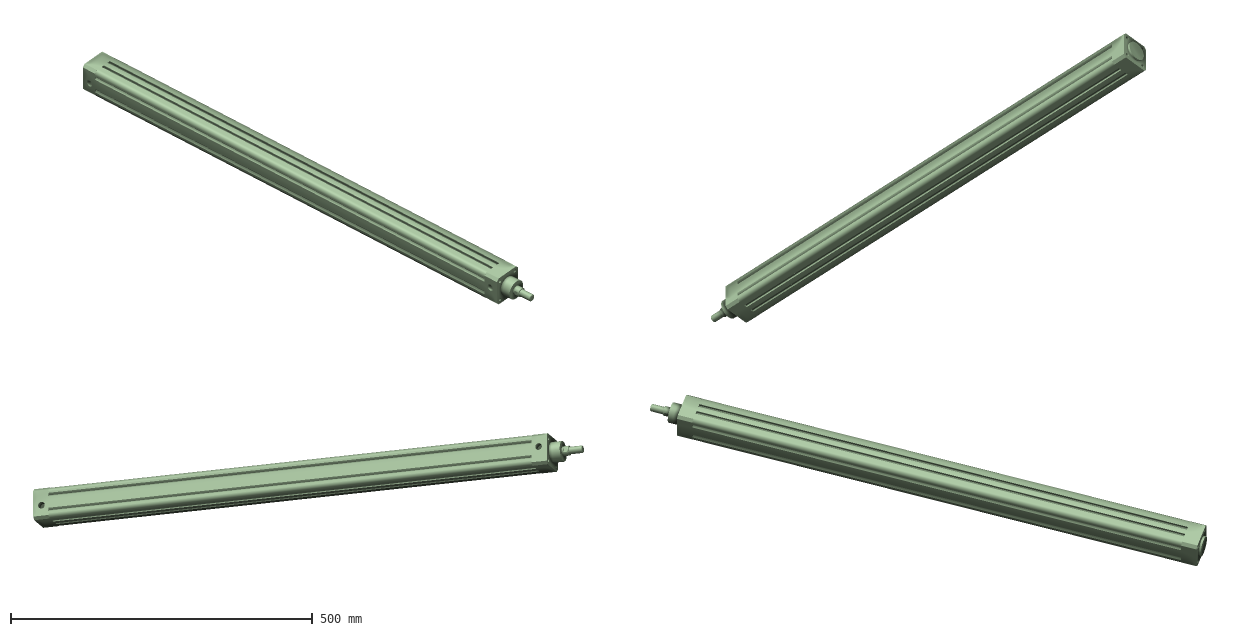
import cadquery as cq

total_length = 963.0
side = 54.0
boss_length = 4.0
cap_length = 27.0
rod_reach = 54.0
head_face_x = total_length - rod_reach
rear_tube_x = boss_length + cap_length
head_tube_x = head_face_x - cap_length

cap_chamfer = 5.0
boss_diameter = 35.0
collar_length = 19.0
screw_spacing = 38.0
screw_diameter = 6.0
screw_depth = 15.0
port_diameter = 12.0
port_depth = 12.0
port_offset_z = 4.0
port_inset = 14.0

tube_length = head_tube_x - rear_tube_x
tube_corner_radius = 8.0
slot_width = 6.0
slot_depth = 4.0
slot_offset = 8.0
groove_width = 7.0
groove_depth = 3.0
groove_inner_edge = 10.0
groove_offset = groove_inner_edge + groove_width / 2

rod_diameter = 16.0
thread_diameter = 13.0
thread_length = 23.0
thread_chamfer = 1.0
flat_width = 14.0
flat_length = 7.0
shoulder_length = 2.0
thread_start_x = total_length - thread_length
flats_start_x = thread_start_x - shoulder_length - flat_length


def section_plane(x):
    """Workplane across the axis, with local x along Y and local y along Z."""
    return cq.Workplane("YZ", origin=(x, 0, 0))


def round_bar(diameter, start_x, length):
    """Round bar along X, centred on the axis."""
    return section_plane(start_x).circle(diameter / 2).extrude(length)


def square_bar(start_x, length):
    """Square bar along X, centred on the axis."""
    return section_plane(start_x).rect(side, side).extrude(length)


def screw_holes(face_x, direction):
    """Cutter for four blind holes from an outer cap face towards the tube."""
    return (
        section_plane(face_x)
        .rect(screw_spacing, screw_spacing, forConstruction=True)
        .vertices()
        .circle(screw_diameter / 2)
        .extrude(direction * screw_depth)
    )


def port(x, z):
    """Cutter for a blind air port in the -Y side of a cap."""
    face = cq.Workplane("XZ", origin=(x, -side / 2, z))
    return face.circle(port_diameter / 2).extrude(-port_depth)


def make_rear_cap():
    """Rear cap with a centring boss."""
    cap = square_bar(boss_length, cap_length).edges("|X").chamfer(cap_chamfer)
    cap = cap.union(round_bar(boss_diameter, 0, boss_length))
    cap = cap.cut(screw_holes(boss_length, 1))
    return cap.cut(port(boss_length + port_inset, -port_offset_z))


def make_head_cap():
    """Head cap with a collar, bored through for the rod."""
    cap = square_bar(head_tube_x, cap_length).edges("|X").chamfer(cap_chamfer)
    cap = cap.union(round_bar(boss_diameter, head_face_x, collar_length))
    cap = cap.cut(round_bar(rod_diameter, head_tube_x, cap_length + collar_length))
    cap = cap.cut(screw_holes(head_face_x, -1))
    return cap.cut(port(head_face_x - port_inset, port_offset_z))


def slot(y, face):
    """Cutter for a square slot in the upper (face 1) or lower (face -1) side of the tube."""
    middle_z = face * (side - slot_depth) / 2
    return section_plane(rear_tube_x).center(y, middle_z).rect(slot_width, slot_depth).extrude(tube_length)


def groove(z, face):
    """Cutter for a V-groove in the +Y (face 1) or -Y (face -1) side of the tube."""
    outline = [(0, -groove_width / 2), (-face * groove_depth, 0), (0, groove_width / 2)]
    start = section_plane(rear_tube_x).center(face * side / 2, z)
    return start.polyline(outline).close().extrude(tube_length)


def make_tube():
    """Profile tube between the caps."""
    tube = square_bar(rear_tube_x, tube_length).edges("|X").fillet(tube_corner_radius)
    for face in (-1, 1):
        for hand in (-1, 1):
            tube = tube.cut(slot(hand * slot_offset, face))
            tube = tube.cut(groove(hand * groove_offset, face))
    return tube


def wrench_flats():
    """Cutter that leaves two parallel flats, facing -Y and +Y, on the rod."""
    outside = section_plane(flats_start_x).rect(2 * rod_diameter, 2 * rod_diameter).extrude(flat_length)
    between = section_plane(flats_start_x).rect(flat_width, 2 * rod_diameter).extrude(flat_length)
    return outside.cut(between)


def make_rod():
    """Piston rod with wrench flats and a reduced thread end."""
    shank = round_bar(rod_diameter, head_tube_x, thread_start_x - head_tube_x)
    thread = round_bar(thread_diameter, thread_start_x, thread_length)
    thread = thread.faces(">X").chamfer(thread_chamfer)
    return shank.cut(wrench_flats()).union(thread)


rear_cap = make_rear_cap()
tube = make_tube()
head_cap = make_head_cap()
rod = make_rod()

result = cq.Compound.makeCompound([rear_cap.val(), tube.val(), head_cap.val(), rod.val()])